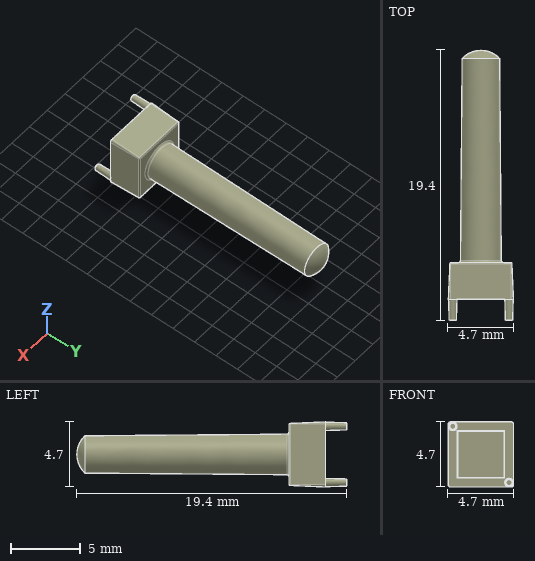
import cadquery as cq
import math

total_length = 19.43
pin_length = 1.53
base_length = 2.65
dome_height = 0.6
base_back = pin_length + base_length
dome_start = total_length - dome_height

base_width = 4.7
base_back_width = 4.47
base_corner_radius = 0.17
base_back_fillet = 0.1

cavity_width = 3.42
cavity_floor_width = 3.32
cavity_depth = 2.04

rod_root_radius = 1.48
rod_tip_radius = 1.36
rod_root_fillet = 0.15

pin_offset = 2.02
pin_root_radius = 0.31
pin_tip_radius = 0.27
pin_chamfer = 0.05


def draft_angle(start_width, end_width, length):
    """Angle in degrees that narrows a square from one width to the other."""
    return math.degrees(math.atan((start_width - end_width) / 2 / length))


def plane_facing_back(y):
    """Plane at the given Y whose normal points along +Y, with local x along X."""
    return cq.Workplane(cq.Plane(origin=(0, y, 0), xDir=(1, 0, 0), normal=(0, 1, 0)))


def make_base():
    outline = cq.Sketch().rect(base_width, base_width).vertices().fillet(base_corner_radius)
    taper = draft_angle(base_width, base_back_width, base_length)
    block = plane_facing_back(pin_length).placeSketch(outline).extrude(base_length, taper=taper)
    return block.faces(">Y").edges().fillet(base_back_fillet)


def make_cavity():
    taper = draft_angle(cavity_width, cavity_floor_width, cavity_depth)
    opening = plane_facing_back(pin_length).rect(cavity_width, cavity_width)
    return opening.extrude(cavity_depth, taper=taper)


def make_rod():
    dome_radius = (rod_tip_radius**2 + dome_height**2) / (2 * dome_height)
    dome_center = total_length - dome_radius
    half_angle = math.asin(rod_tip_radius / dome_radius) / 2
    dome_middle = (
        dome_radius * math.sin(half_angle),
        dome_center + dome_radius * math.cos(half_angle),
    )
    flare_middle = rod_root_fillet * (1 - math.sqrt(0.5))
    profile = (
        cq.Workplane("XY")
        .moveTo(0, base_back)
        .lineTo(rod_root_radius + rod_root_fillet, base_back)
        .threePointArc(
            (rod_root_radius + flare_middle, base_back + flare_middle),
            (rod_root_radius, base_back + rod_root_fillet),
        )
        .lineTo(rod_tip_radius, dome_start)
        .threePointArc(dome_middle, (0, total_length))
        .close()
    )
    return profile.revolve(360, (0, 0, 0), (0, 1, 0))


def make_pin(x, z):
    profile = (
        cq.Workplane("XY")
        .polyline([
            (0, 0),
            (pin_tip_radius - pin_chamfer, 0),
            (pin_tip_radius, pin_chamfer),
            (pin_root_radius, pin_length),
            (0, pin_length),
        ])
        .close()
    )
    return profile.revolve(360, (0, 0, 0), (0, 1, 0)).translate((x, 0, z))


result = make_base().cut(make_cavity()).union(make_rod())
for side in (-1, 1):
    result = result.union(make_pin(side * pin_offset, -side * pin_offset))